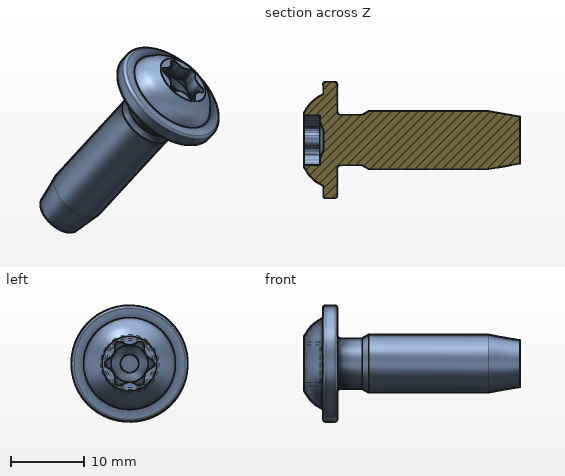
import cadquery as cq
import math

dome_height = 2.6
flange_thickness = 2.0
shank_length = 25.0
neck_length = 3.4
neck_cone_angle = 30.0
tip_length = 4.36
tip_angle = 10.0

head_top_radius = 3.75
dome_base_radius = 6.3
dome_radius = 5.5
flange_radius = 8.0
neck_radius = 3.5
shank_radius = 4.0

flange_edge_radius = 0.4
neck_fillet_radius = 0.4

lobe_count = 6
lobe_tip_radius = 3.4
lobe_round_radius = 0.62
bulge_inner_radius = 2.56
bulge_round_radius = 1.45
recess_depth = 2.2
recess_cone_radius = 2.55
recess_floor_radius = 1.25
recess_cone_slope = 20.0

bearing_x = dome_height + flange_thickness
neck_end_x = bearing_x + neck_length
neck_cone_length = (shank_radius - neck_radius) / math.tan(math.radians(neck_cone_angle))
end_x = bearing_x + shank_length
tip_radius = shank_radius - tip_length * math.tan(math.radians(tip_angle))


def polar(radius, angle):
    """Point at a distance and an angle (radians) from the screw axis."""
    return (radius * math.cos(angle), radius * math.sin(angle))


def screw_body():
    """Head, neck, shank and tapered tip, turned as one profile about X."""
    rise = dome_base_radius - head_top_radius
    chord = math.hypot(dome_height, rise)
    bulge = dome_radius - math.sqrt(dome_radius**2 - (chord / 2) ** 2)
    dome_mid_x = dome_height / 2 - bulge * rise / chord
    dome_mid_radius = (head_top_radius + dome_base_radius) / 2 + bulge * dome_height / chord

    profile = (
        cq.Workplane("XY")
        .moveTo(0, 0)
        .lineTo(0, head_top_radius)
        .threePointArc((dome_mid_x, dome_mid_radius), (dome_height, dome_base_radius))
        .lineTo(dome_height, flange_radius - flange_edge_radius)
        .radiusArc((dome_height + flange_edge_radius, flange_radius), flange_edge_radius)
        .lineTo(bearing_x - flange_edge_radius, flange_radius)
        .radiusArc((bearing_x, flange_radius - flange_edge_radius), flange_edge_radius)
        .lineTo(bearing_x, neck_radius + neck_fillet_radius)
        .radiusArc((bearing_x + neck_fillet_radius, neck_radius), -neck_fillet_radius)
        .lineTo(neck_end_x, neck_radius)
        .lineTo(neck_end_x + neck_cone_length, shank_radius)
        .lineTo(end_x - tip_length, shank_radius)
        .lineTo(end_x, tip_radius)
        .lineTo(end_x, 0)
        .close()
    )
    return profile.revolve(360, (0, 0, 0), (1, 0, 0))


def lobe_socket():
    """Six-lobe prism: lobe and bulge arcs joined by their common tangent lines."""
    half_pitch = math.pi / lobe_count
    lobe_center_distance = lobe_tip_radius - lobe_round_radius
    bulge_center = polar(bulge_inner_radius + bulge_round_radius, half_pitch)
    gap_x = bulge_center[0] - lobe_center_distance
    gap_y = bulge_center[1]

    tangent_angle = math.atan2(gap_y, gap_x) - math.acos(
        (lobe_round_radius + bulge_round_radius) / math.hypot(gap_x, gap_y)
    )
    offset = polar(1, tangent_angle)
    lobe_end = (
        lobe_center_distance + lobe_round_radius * offset[0],
        lobe_round_radius * offset[1],
    )
    bulge_start = (
        bulge_center[0] - bulge_round_radius * offset[0],
        bulge_center[1] - bulge_round_radius * offset[1],
    )

    lobe_end_radius = math.hypot(*lobe_end)
    lobe_end_angle = math.atan2(lobe_end[1], lobe_end[0])
    bulge_radius = math.hypot(*bulge_start)
    bulge_angle = math.atan2(bulge_start[1], bulge_start[0])

    outline = cq.Workplane("YZ").moveTo(*polar(lobe_end_radius, -lobe_end_angle))
    for index in range(lobe_count):
        middle = 2 * half_pitch * index
        following = middle + 2 * half_pitch
        outline = (
            outline.threePointArc(
                polar(lobe_tip_radius, middle),
                polar(lobe_end_radius, middle + lobe_end_angle),
            )
            .lineTo(*polar(bulge_radius, middle + bulge_angle))
            .threePointArc(
                polar(bulge_inner_radius, middle + half_pitch),
                polar(bulge_radius, following - bulge_angle),
            )
        )
        if index < lobe_count - 1:
            outline = outline.lineTo(*polar(lobe_end_radius, following - lobe_end_angle))
    return outline.close().extrude(recess_depth)


def recess_cone():
    """Truncated cone sunk below the six-lobe socket, with a flat floor."""
    cone_depth = (recess_cone_radius - recess_floor_radius) * math.tan(math.radians(recess_cone_slope))
    profile = (
        cq.Workplane("XY")
        .moveTo(recess_depth, 0)
        .lineTo(recess_depth, recess_cone_radius)
        .lineTo(recess_depth + cone_depth, recess_floor_radius)
        .lineTo(recess_depth + cone_depth, 0)
        .close()
    )
    return profile.revolve(360, (0, 0, 0), (1, 0, 0))


result = screw_body().cut(lobe_socket()).cut(recess_cone())